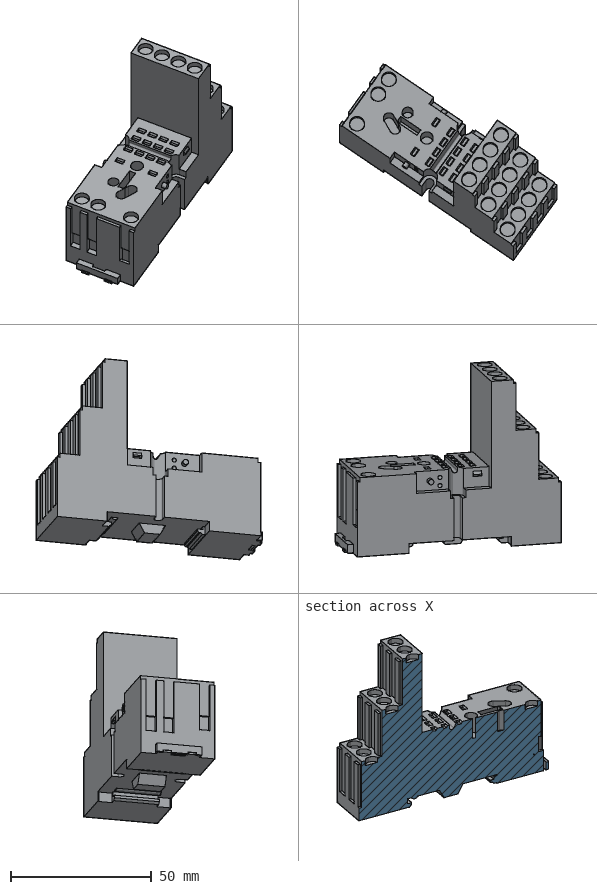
import cadquery as cq
import math



def spread(count, pitch):
    """Evenly spaced positions about zero."""
    return [(i - (count - 1) / 2) * pitch for i in range(count)]


WIDTH = 27.2
HALF_WIDTH = WIDTH / 2
TOTAL_LENGTH = 78.0
HEIGHT = 61.1
TAB_REACH = 2.6
BACK_Y = TOTAL_LENGTH - TAB_REACH
DECK_Z = 29.1
STEP_RISE = 18.6
MID_STEP_Z = HEIGHT - STEP_RISE
LOW_STEP_Z = MID_STEP_Z - STEP_RISE
TOWER_FRONT_Y = 49.5
TOWER_BACK_Y = 58.7
MID_STEP_BACK_Y = 67.1
LEDGE_DEPTH = 1.0
LEDGE_DROP = 1.5
TOP_LEDGE_DROP = 1.3

TERMINAL_PITCH = 6.6
TERMINAL_XS = spread(4, TERMINAL_PITCH)
FRONT_TERMINAL_XS = [TERMINAL_XS[0], TERMINAL_XS[1], TERMINAL_XS[3]]
TERMINAL_INSET = 5.05
SCREW_DIAMETER = 5.3
SCREW_DEPTH = 2.0
ENTRY_WIDTH = 3.8
ENTRY_RECESS_DEPTH = 2.0
ENTRY_RECESS_Z = 8.45
FRONT_ENTRIES = [
    (FRONT_TERMINAL_XS[0], ENTRY_RECESS_Z, 14.3),
    (FRONT_TERMINAL_XS[1], ENTRY_RECESS_Z, 14.3),
    (FRONT_TERMINAL_XS[2], 10.5, 16.1),
]

SIDE_RECESS_DEPTH = 2.8
SIDE_WALL_X = HALF_WIDTH - SIDE_RECESS_DEPTH
SIDE_RECESS_FRONT_Y = 21.9
SIDE_RECESS_Z = 21.9
MOUNT_Y = 37.25
MOUNT_X = 11.0
MOUNT_SLOT_RADIUS = 1.55
MOUNT_HEAD_RADIUS = 2.8
MOUNT_HEAD_Z = 19.05
GROOVE_RADIUS = 0.9
GROOVE_AXIS_Y = 37.5
GROOVE_AXIS_Z = 27.9
GROOVE_SLOPE = 60

CONTACT_PITCH = 4.4
CONTACT_XS = spread(4, CONTACT_PITCH)
OUTER_CONTACT_XS = [CONTACT_XS[0], CONTACT_XS[3]]
CONTACT_ROWS = [
    (44.4, CONTACT_XS),
    (40.2, CONTACT_XS),
    (34.2, CONTACT_XS),
    (27.8, OUTER_CONTACT_XS),
]
CONTACT_LENGTH = 3.0
CONTACT_WIDTH = 1.8
CONTACT_FLOOR_WIDTH = 1.0
CONTACT_DEPTH = 0.8

POCKET_DEPTH = 8.0
ROUND_POCKET_DIAMETER = 4.5
ROUND_POCKET_Y = 28.4
SMALL_POCKET_DIAMETER = 3.9
SMALL_POCKET_CENTER = (-3.75, 17.5)
KEYWAY_WIDTH = 2.4
KEYWAY_FRONT_Y = 16.3
KEYWAY_BACK_Y = 24.95
KEYWAY_CHAMFER = 0.7
OBLONG_ENDS = [(1.75, 13.2), (3.7, 17.2)]
OBLONG_WIDTH = 3.9

PIN_DIAMETER = 2.0
PIN_LENGTH = 1.85
PIN_Y = 27.55
PIN_Z = 25.4
DIMPLE_DIAMETER = 1.5
DIMPLE_DEPTH = 0.75
DIMPLE_Y = 31.3
DIMPLE_ZS = [26.4, 23.4]
CATCH_HEIGHT = 0.6
CATCH_FRONT_Y = 43.5
CATCH_BACK_Y = 46.6
CATCH_BOTTOM_Z = 25.85
CATCH_FLAT_Z = (26.2, 26.7)
CATCH_TOP_Z = 27.8

CHANNEL_FRONT_Y = 19.1
CHANNEL_BACK_Y = 56.9
CHANNEL_Z = 3.55
CHANNEL_RIM = 0.5
CHANNEL_RECESS_DEPTH = 0.3
HOOK_WIDTH = 16.6
HOOK_TIP_Y = 53.9
HOOK_TIP_BOTTOM_Z = 0.8
HOOK_TIP_TOP_Z = 1.75
HOOK_TOE_Y = 54.8
HOOK_STEM_Y = 55.5
FOOT_WIDTH = 10.0
FOOT_TOP_YS = (32.8, 42.6)
FOOT_BOTTOM_YS = (34.9, 40.6)
BUMP_Y = 52.6
BUMP_CHORD = 2.5
BUMP_DROP = 0.75

SLIDER_WIDTH = 16.6
SLIDER_REACH = 2.1
SLIDER_TOP_Z = 3.35
SLIDER_CHAMFER = 0.3
SLIDER_SLOT_LENGTH = 5.0
SLIDER_SLOT_WIDTH = 1.0
LATCH_TIP_Y = 22.0
LATCH_TOP_Z = 2.2
LATCH_TIP_BOTTOM_Z = 1.5
LATCH_STEP_Z = 1.0
LATCH_STEP_YS = (20.9, 21.4)
LATCH_TOE_Y = 20.2
LATCH_STEM_Y = 19.9
LATCH_RIB_Y = 20.4
LATCH_RIB_WIDTH = 8.0
TAB_X = 4.6
TAB_WIDTH = 3.0
TAB_HEIGHT = 0.8


def box(x_range, y_range, z_range):
    """Box between the given pairs of limits."""
    size = [high - low for low, high in (x_range, y_range, z_range)]
    corner = (x_range[0], y_range[0], z_range[0])
    return cq.Workplane("XY").box(*size, centered=False).translate(corner)


def centered_box(x, width, y_range, z_range):
    """Box of the given width about x."""
    return box((x - width / 2, x + width / 2), y_range, z_range)


def side_prism(outline, width):
    """Extrude an outline of (y, z) points evenly to both sides of the middle plane."""
    return cq.Workplane("YZ").polyline(outline).close().extrude(width / 2, both=True)


def make_housing():
    """Stepped housing with the rail channel cut into its outline."""
    outline = [
        (0, 0),
        (0, DECK_Z - LEDGE_DROP),
        (LEDGE_DEPTH, DECK_Z - LEDGE_DROP),
        (LEDGE_DEPTH, DECK_Z),
        (TOWER_FRONT_Y, DECK_Z),
        (TOWER_FRONT_Y, HEIGHT),
    ]
    back_steps = [
        (TOWER_BACK_Y, HEIGHT, TOP_LEDGE_DROP, MID_STEP_Z),
        (MID_STEP_BACK_Y, MID_STEP_Z, LEDGE_DROP, LOW_STEP_Z),
        (BACK_Y, LOW_STEP_Z, LEDGE_DROP, 0),
    ]
    for back, top, drop, foot in back_steps:
        outline += [
            (back - LEDGE_DEPTH, top),
            (back - LEDGE_DEPTH, top - drop),
            (back, top - drop),
            (back, foot),
        ]
    outline += [
        (CHANNEL_BACK_Y, 0),
        (CHANNEL_BACK_Y, CHANNEL_Z),
        (CHANNEL_FRONT_Y, CHANNEL_Z),
        (CHANNEL_FRONT_Y, 0),
    ]
    return side_prism(outline, WIDTH)


def cut_terminals(body):
    """Screw holes and wire entries of the three back rows and the front row."""
    back_rows = [
        (TOWER_BACK_Y, HEIGHT, MID_STEP_Z),
        (MID_STEP_BACK_Y, MID_STEP_Z, LOW_STEP_Z),
        (BACK_Y, LOW_STEP_Z, LOW_STEP_Z - STEP_RISE),
    ]
    screws = [(x, TERMINAL_INSET, DECK_Z) for x in FRONT_TERMINAL_XS]
    for back, top, entry_bottom in back_rows:
        for x in TERMINAL_XS:
            screws.append((x, back - TERMINAL_INSET, top))
            body = body.cut(centered_box(x, ENTRY_WIDTH, (back - LEDGE_DEPTH, back), (entry_bottom, top)))
    for x, bottom, recess_top in FRONT_ENTRIES:
        opening = centered_box(x, ENTRY_WIDTH, (0, LEDGE_DEPTH), (bottom, DECK_Z))
        recess_y = (LEDGE_DEPTH, ENTRY_RECESS_DEPTH)
        recess = centered_box(x, ENTRY_WIDTH, recess_y, (ENTRY_RECESS_Z, recess_top))
        body = body.cut(opening).cut(recess)
    for x, y, top in screws:
        hole = cq.Workplane("XY", origin=(x, y, top)).circle(SCREW_DIAMETER / 2).extrude(-SCREW_DEPTH)
        body = body.cut(hole)
    return body


def mounting_slot(side, radius, z_range):
    """Slot with a round inner end, open to the given side (-1 or 1)."""
    x_limits = sorted((side * MOUNT_X, side * (HALF_WIDTH + radius)))
    straight = box(x_limits, (MOUNT_Y - radius, MOUNT_Y + radius), z_range)
    low, high = z_range
    end = cq.Workplane("XY", origin=(side * MOUNT_X, MOUNT_Y, low)).circle(radius).extrude(high - low)
    return straight.union(end)


def cut_sides(body):
    """Recesses along both sides of the deck and the slots for the mounting screws."""
    for side in (-1, 1):
        recess_x = sorted((side * SIDE_WALL_X, side * HALF_WIDTH))
        body = body.cut(box(recess_x, (SIDE_RECESS_FRONT_Y, TOWER_FRONT_Y), (SIDE_RECESS_Z, DECK_Z)))
        body = body.cut(mounting_slot(side, MOUNT_SLOT_RADIUS, (0, DECK_Z)))
        body = body.cut(mounting_slot(side, MOUNT_HEAD_RADIUS, (MOUNT_HEAD_Z, DECK_Z)))
    return body


def cut_groove(body):
    """Cross groove with an upright back wall, a round bottom and a sloped front wall."""
    slope = math.radians(GROOVE_SLOPE)
    back_y = GROOVE_AXIS_Y + GROOVE_RADIUS
    tangent_y = GROOVE_AXIS_Y - GROOVE_RADIUS * math.sin(slope)
    tangent_z = GROOVE_AXIS_Z - GROOVE_RADIUS * math.cos(slope)
    front_y = tangent_y - (DECK_Z - tangent_z) / math.tan(slope)
    groove = (
        cq.Workplane("YZ")
        .moveTo(front_y, DECK_Z)
        .lineTo(tangent_y, tangent_z)
        .threePointArc((GROOVE_AXIS_Y, GROOVE_AXIS_Z - GROOVE_RADIUS), (back_y, GROOVE_AXIS_Z))
        .lineTo(back_y, DECK_Z)
        .close()
        .extrude(MOUNT_X, both=True)
    )
    return body.cut(groove)


def cut_contacts(body):
    """Contact openings whose front and back walls slope towards a narrower floor."""
    half_top = CONTACT_WIDTH / 2
    half_floor = CONTACT_FLOOR_WIDTH / 2
    outline = [
        (-half_top, 0),
        (-half_floor, -CONTACT_DEPTH),
        (half_floor, -CONTACT_DEPTH),
        (half_top, 0),
    ]
    opening = side_prism(outline, CONTACT_LENGTH)
    for y, xs in CONTACT_ROWS:
        for x in xs:
            body = body.cut(opening.translate((x, y, DECK_Z)))
    return body


def deck_plane(x, y):
    """Workplane on the deck with its origin at (x, y)."""
    return cq.Workplane("XY", origin=(x, y, DECK_Z))


def cut_deck_pockets(body):
    """Two round pockets, a keyway and an oblique oblong pocket."""
    round_pocket = deck_plane(0, ROUND_POCKET_Y).circle(ROUND_POCKET_DIAMETER / 2)
    small_pocket = deck_plane(*SMALL_POCKET_CENTER).circle(SMALL_POCKET_DIAMETER / 2)

    half_key = KEYWAY_WIDTH / 2
    keyway = deck_plane(0, 0).polyline([
        (-half_key, KEYWAY_FRONT_Y),
        (half_key - KEYWAY_CHAMFER, KEYWAY_FRONT_Y),
        (half_key, KEYWAY_FRONT_Y + KEYWAY_CHAMFER),
        (half_key, KEYWAY_BACK_Y),
        (-half_key, KEYWAY_BACK_Y),
    ]).close()

    (x0, y0), (x1, y1) = OBLONG_ENDS
    oblong_length = math.hypot(x1 - x0, y1 - y0) + OBLONG_WIDTH
    oblong_angle = math.degrees(math.atan2(y1 - y0, x1 - x0))
    oblong = deck_plane((x0 + x1) / 2, (y0 + y1) / 2).slot2D(oblong_length, OBLONG_WIDTH, oblong_angle)

    for pocket in (round_pocket, small_pocket, keyway, oblong):
        body = body.cut(pocket.extrude(-POCKET_DEPTH))
    return body


def add_side_details(body):
    """Pin, two conical dimples and a catch on each recessed side wall."""
    catch_outline = [
        (SIDE_WALL_X, CATCH_BOTTOM_Z),
        (SIDE_WALL_X + CATCH_HEIGHT, CATCH_FLAT_Z[0]),
        (SIDE_WALL_X + CATCH_HEIGHT, CATCH_FLAT_Z[1]),
        (SIDE_WALL_X, CATCH_TOP_Z),
    ]
    catch = cq.Workplane("XZ", origin=(0, CATCH_FRONT_Y, 0)).polyline(catch_outline).close()
    catch = catch.extrude(CATCH_FRONT_Y - CATCH_BACK_Y)
    pin = cq.Workplane("YZ", origin=(SIDE_WALL_X, PIN_Y, PIN_Z)).circle(PIN_DIAMETER / 2).extrude(PIN_LENGTH)
    cones = []
    for z in DIMPLE_ZS:
        mouth = cq.Vector(SIDE_WALL_X, DIMPLE_Y, z)
        cone = cq.Solid.makeCone(DIMPLE_DIAMETER / 2, 0, DIMPLE_DEPTH, mouth, cq.Vector(-1, 0, 0))
        cones.append(cq.Workplane(cone))

    for mirrored in (False, True):
        for feature in (catch, pin):
            body = body.union(feature.mirror("YZ") if mirrored else feature)
        for cone in cones:
            body = body.cut(cone.mirror("YZ") if mirrored else cone)
    return body


def add_rail_features(body):
    """Recessed back wall, fixed rail hook, spring bump and tapered foot inside the rail channel."""
    recess_y = (CHANNEL_BACK_Y, CHANNEL_BACK_Y + CHANNEL_RECESS_DEPTH)
    recess = centered_box(0, WIDTH - 2 * CHANNEL_RIM, recess_y, (0, CHANNEL_Z))
    hook = side_prism([
        (recess_y[1], 0),
        (HOOK_TOE_Y, 0),
        (HOOK_TIP_Y, HOOK_TIP_BOTTOM_Z),
        (HOOK_TIP_Y, HOOK_TIP_TOP_Z),
        (HOOK_STEM_Y, HOOK_TIP_TOP_Z),
        (HOOK_STEM_Y, CHANNEL_Z),
        (recess_y[1], CHANNEL_Z),
    ], HOOK_WIDTH)
    foot = side_prism([
        (FOOT_TOP_YS[0], CHANNEL_Z),
        (FOOT_BOTTOM_YS[0], 0),
        (FOOT_BOTTOM_YS[1], 0),
        (FOOT_TOP_YS[1], CHANNEL_Z),
    ], FOOT_WIDTH)
    bump = (
        cq.Workplane("YZ")
        .moveTo(BUMP_Y - BUMP_CHORD / 2, CHANNEL_Z)
        .threePointArc((BUMP_Y, CHANNEL_Z - BUMP_DROP), (BUMP_Y + BUMP_CHORD / 2, CHANNEL_Z))
        .close()
        .extrude(HOOK_WIDTH / 2, both=True)
    )
    return body.cut(recess).union(hook).union(foot).union(bump)


def add_slider(body):
    """Release slider: pull plate with two tabs in front, latch in the channel."""
    plate = centered_box(0, SLIDER_WIDTH, (-SLIDER_REACH, 0), (0, SLIDER_TOP_Z))
    plate = plate.faces("<Z").edges("<Y or <X or >X").chamfer(SLIDER_CHAMFER)
    slot = centered_box(0, SLIDER_SLOT_LENGTH, (-SLIDER_SLOT_WIDTH, 0), (0, SLIDER_TOP_Z))
    body = body.union(plate).cut(slot)
    tab_y = (-TAB_REACH, -SLIDER_REACH / 2)
    for x in (-TAB_X, TAB_X):
        body = body.union(centered_box(x, TAB_WIDTH, tab_y, (0, TAB_HEIGHT)))
    latch = side_prism([
        (CHANNEL_FRONT_Y, SLIDER_CHAMFER),
        (LATCH_TOE_Y, SLIDER_CHAMFER),
        (LATCH_STEP_YS[0], LATCH_STEP_Z),
        (LATCH_STEP_YS[1], LATCH_STEP_Z),
        (LATCH_TIP_Y, LATCH_TIP_BOTTOM_Z),
        (LATCH_TIP_Y, LATCH_TOP_Z),
        (LATCH_STEM_Y, LATCH_TOP_Z),
        (LATCH_STEM_Y, SLIDER_TOP_Z),
        (CHANNEL_FRONT_Y, SLIDER_TOP_Z),
    ], SLIDER_WIDTH)
    rib_y = (CHANNEL_FRONT_Y, LATCH_RIB_Y)
    rib = centered_box(0, LATCH_RIB_WIDTH, rib_y, (LATCH_TOP_Z, SLIDER_TOP_Z))
    return body.union(latch).union(rib)


result = make_housing()
result = cut_terminals(result)
result = cut_sides(result)
result = cut_groove(result)
result = cut_contacts(result)
result = cut_deck_pockets(result)
result = add_side_details(result)
result = add_rail_features(result)
result = add_slider(result)